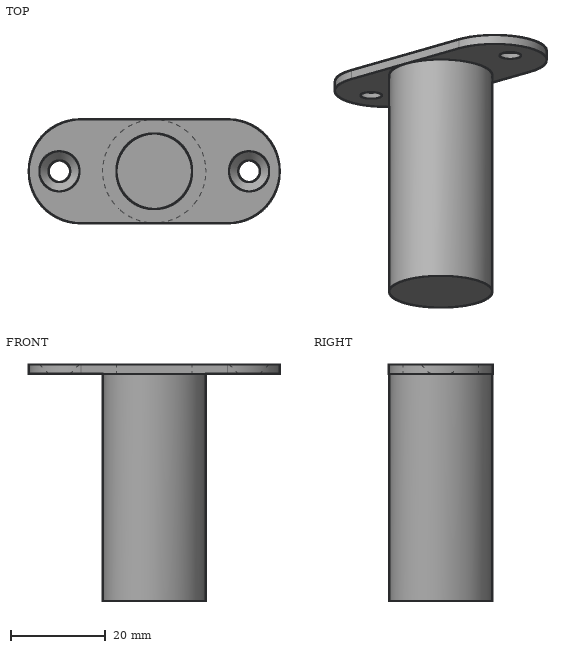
import cadquery as cq

plate_length = 53.0
plate_width = 22.0
plate_thickness = 2.0

total_height = 50.0
body_diameter = 21.8
body_length = total_height - plate_thickness

screw_spacing = 40.0
countersink_diameter = 8.5
screw_hole_diameter = 4.5

gap_outer_diameter = 16.0
plunger_diameter = 15.9
gap_depth = plate_thickness


def make_plate():
    """Plate with its top face at Z = 0."""
    return (
        cq.Workplane("XY")
        .slot2D(plate_length, plate_width)
        .extrude(-plate_thickness)
    )


def make_body():
    return (
        cq.Workplane("XY")
        .workplane(offset=-plate_thickness)
        .circle(body_diameter / 2)
        .extrude(-body_length)
    )


def make_screw_cones():
    """Tapered cutters, widest at the top face of the plate."""
    cone = cq.Solid.makeCone(
        countersink_diameter / 2,
        screw_hole_diameter / 2,
        plate_thickness,
        dir=cq.Vector(0, 0, -1),
    )
    positions = [(-screw_spacing / 2, 0), (screw_spacing / 2, 0)]
    return cq.Workplane("XY").pushPoints(positions).eachpoint(cone)


def make_plunger_gap():
    return (
        cq.Workplane("XY")
        .circle(gap_outer_diameter / 2)
        .circle(plunger_diameter / 2)
        .extrude(-gap_depth)
    )


result = (
    make_plate()
    .union(make_body())
    .cut(make_screw_cones())
    .cut(make_plunger_gap())
)